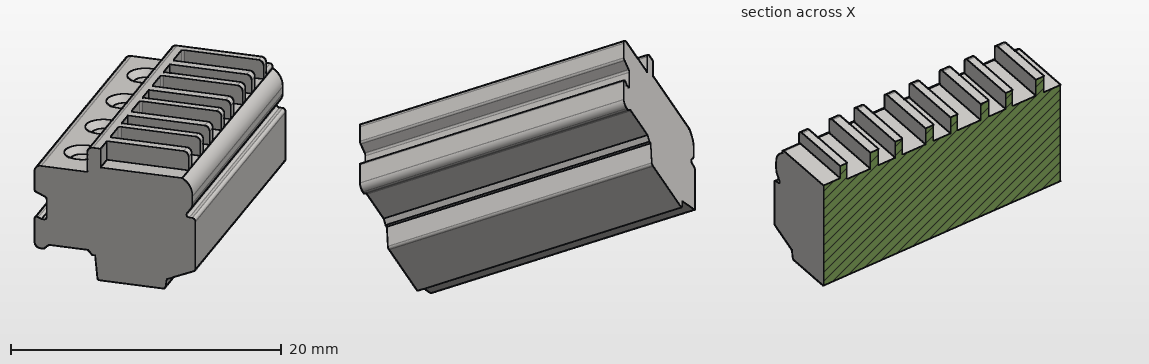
import cadquery as cq
import math

WIDTH = 12.5
LENGTH = 21.5
HEIGHT = 10.6

REAR_STEP_LENGTH = 1.5
MAIN_LENGTH = LENGTH - REAR_STEP_LENGTH
POSITIONS = 4
PITCH = MAIN_LENGTH / POSITIONS

SHELF_Z = 8.6
SLOT_FLOOR_Z = 9.1
REAR_STEP_Z = 9.45
UNDERSIDE_Z = 2.32
FOOT_Z = 1.95
RIB_LEFT_X = 4.1
RIB_RIGHT_X = 11.48
NOSE_X = 12.28
GROOVE_X = 0.95
GROOVE_Z = 4.32
NOTCH_Z = 6.0

SHELF_RADIUS = 0.5
RIB_RADIUS = 0.4
REAR_EDGE_RADIUS = 0.22
NOSE_TOP_RADIUS = 1.5
NOSE_BOTTOM_RADIUS = 0.99
SIDE_TOP_RADIUS = 0.25
SMALL_RADIUS = 0.2

SLOT_LEFT_X = 5.14
NARROW_SLOT = 1.5
WIDE_SLOT = 2.09
WIDE_SLOT_Y = 2.25

HOLE_X = 2.65
HOLE_Y = 3.35
HOLE_TOP_DIAMETER = 2.7
HOLE_FLOOR_DIAMETER = 1.7
HOLE_DEPTH = (HOLE_TOP_DIAMETER - HOLE_FLOOR_DIAMETER) / 2


def profile_corners(top_z, right_radius):
    """Corners (x, z, radius) of the cross-section, clockwise from the shelf edge."""
    return [
        (0, SHELF_Z, SHELF_RADIUS),
        (RIB_LEFT_X, SHELF_Z, 0),
        (RIB_LEFT_X, top_z, RIB_RADIUS),
        (RIB_RIGHT_X, top_z, right_radius),
        (RIB_RIGHT_X, SLOT_FLOOR_Z, 0),
        (NOSE_X, 8.66, NOSE_TOP_RADIUS),
        (NOSE_X, 6.85, NOSE_BOTTOM_RADIUS),
        (11.6, NOTCH_Z, SMALL_RADIUS),
        (WIDTH, NOTCH_Z, SIDE_TOP_RADIUS),
        (WIDTH, 1.76, SMALL_RADIUS),
        (10.28, 0.8, 0),
        (10.15, 0, SMALL_RADIUS),
        (4.9, 0, SMALL_RADIUS),
        (4.7, FOOT_Z, 0),
        (4.5, FOOT_Z, 0),
        (4.15, UNDERSIDE_Z, 0),
        (1.12, UNDERSIDE_Z, SMALL_RADIUS),
        (0.73, FOOT_Z, SMALL_RADIUS),
        (0, FOOT_Z, SHELF_RADIUS),
        (0, 4.58, SMALL_RADIUS),
        (0.55, GROOVE_Z, 0),
        (GROOVE_X, GROOVE_Z, SMALL_RADIUS),
        (GROOVE_X, 6.1, SMALL_RADIUS),
        (0, 6.51, SMALL_RADIUS),
    ]


def rounded_outline(plane, corners):
    """Closed outline through the corners, each rounded by a tangent arc of its radius."""
    outline = None
    for i, (x, z, radius) in enumerate(corners):
        corner = cq.Vector(x, z)
        before = (cq.Vector(*corners[i - 1][:2]) - corner).normalized()
        after = (cq.Vector(*corners[(i + 1) % len(corners)][:2]) - corner).normalized()
        half_angle = before.getAngle(after) / 2
        setback = radius / math.tan(half_angle)
        start = corner + before * setback
        outline = outline.lineTo(start.x, start.y) if outline else plane.moveTo(start.x, start.y)
        if radius:
            to_arc = radius / math.sin(half_angle) - radius
            middle = corner + (before + after).normalized() * to_arc
            end = corner + after * setback
            outline = outline.threePointArc((middle.x, middle.y), (end.x, end.y))
    return outline.close()


def section(start_y, length, top_z, right_radius):
    """Stretch of the body with the given top height."""
    plane = cq.Workplane("XZ", origin=(0, start_y, 0))
    return rounded_outline(plane, profile_corners(top_z, right_radius)).extrude(-length)


def slot(start_y, width, corner_radius=0):
    """Cutter for one slot, from its left wall out through the right side of the ribs."""
    cutter = cq.Workplane("XY").box(
        WIDTH - SLOT_LEFT_X, width, HEIGHT - SLOT_FLOOR_Z, centered=False
    )
    if corner_radius:
        cutter = cutter.edges("|Z and <X").fillet(corner_radius)
    return cutter.translate((SLOT_LEFT_X, start_y, SLOT_FLOOR_Z))


def screw_hole(y):
    """Conical cutter with a flat floor."""
    return (
        cq.Workplane("XY", origin=(HOLE_X, y, SHELF_Z))
        .circle(HOLE_TOP_DIAMETER / 2)
        .workplane(offset=-HOLE_DEPTH)
        .circle(HOLE_FLOOR_DIAMETER / 2)
        .loft()
    )


body = section(0, MAIN_LENGTH, HEIGHT, RIB_RADIUS)
body = body.union(section(MAIN_LENGTH, REAR_STEP_LENGTH, REAR_STEP_Z, REAR_EDGE_RADIUS))

for position in range(POSITIONS):
    offset = position * PITCH
    body = body.cut(slot(offset, NARROW_SLOT))
    body = body.cut(slot(offset + WIDE_SLOT_Y, WIDE_SLOT, SMALL_RADIUS))
    body = body.cut(screw_hole(offset + HOLE_Y))

result = body